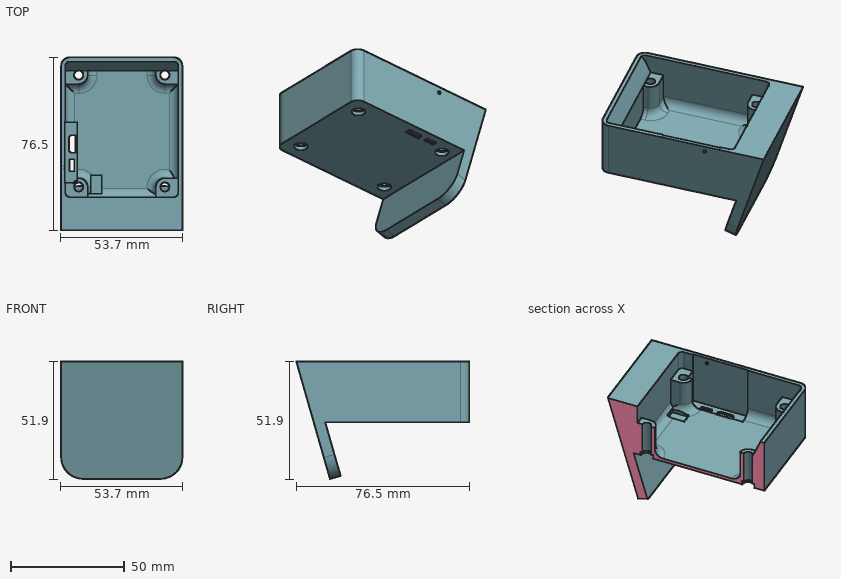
import cadquery as cq
import math

width = 53.7
length = 76.5
total_height = 51.9
box_height = 26.9

lean_angle = math.radians(16)
plate_thickness = 5.0
plate_corner_radius = 10.0
rear_corner_radius = 4.0

wall = 1.9
cavity_depth = 25.0
cavity_front = 14.7
cavity_corner_radius = 2.0
floor_fillet_radius = 4.0
slope_foot_y = 70.6

post_top_depth = 9.2
post_radius = 4.0
hole_inset = 7.8
front_row = 19.1
rear_row = 68.6
hole_diameter = 4.0
counterbore_diameter = 6.0
counterbore_depth = 2.0

connector_recess = (1.6, 7.1, 20.95, 47.7)
wide_opening = (3.6, 6.35, 34.35, 42.0)
wide_opening_chamfer = 0.8
narrow_opening = (3.8, 5.8, 26.15, 31.35)
front_recess = (13.1, 18.0, 16.05, 24.25)
recess_floor_thickness = 1.0

wall_hole_diameter = 1.4
wall_hole_y = 27.6
wall_hole_depth = 2.9

tolerance = 0.01

cavity_back = length - wall
floor_z = -cavity_depth
recess_bottom = -box_height + recess_floor_thickness
hole_columns = (hole_inset, width - hole_inset)
hole_points = [(x, y) for x in hole_columns for y in (front_row, rear_row)]


def block(x0, x1, y0, y1, z0, z1):
    """Box between two opposite corners."""
    return cq.Workplane("XY").box(x1 - x0, y1 - y0, z1 - z0, centered=False).translate((x0, y0, z0))


def side_prism(points, x0, x1):
    """Prism along X with its outline given in Y and Z."""
    return cq.Workplane("YZ").polyline(points).close().extrude(x1 - x0).translate((x0, 0, 0))


def make_shell():
    """Box with the leaning plate running down from its front."""
    outer_bottom = (total_height * math.tan(lean_angle), -total_height)
    inner_bottom = (
        outer_bottom[0] + plate_thickness * math.cos(lean_angle),
        outer_bottom[1] + plate_thickness * math.sin(lean_angle),
    )
    underside_y = box_height * math.tan(lean_angle) + plate_thickness / math.cos(lean_angle)
    outline = [
        (0, 0),
        outer_bottom,
        inner_bottom,
        (underside_y, -box_height),
        (length, -box_height),
        (length, 0),
    ]
    shell = side_prism(outline, 0, width)
    shell = shell.edges("|Z").edges(">Y").fillet(rear_corner_radius)

    middle_y = (outer_bottom[0] + inner_bottom[0]) / 2
    middle_z = (outer_bottom[1] + inner_bottom[1]) / 2
    for x in (0, width):
        corner = cq.selectors.NearestToPointSelector((x, middle_y, middle_z))
        shell = shell.edges(corner).fillet(plate_corner_radius)
    return shell


def make_post(x, y):
    """Corner post reaching from its rounded inner corner to the nearest walls."""
    wall_x = wall if x < width / 2 else width - wall
    inner_x = x + math.copysign(post_radius, width / 2 - x)
    at_front = y < length / 2
    wall_y = cavity_front if at_front else slope_foot_y
    inner_y = y + post_radius if at_front else y - post_radius
    x0, x1 = sorted((wall_x, inner_x))
    y0, y1 = sorted((wall_y, inner_y))
    post = block(x0, x1, y0, y1, floor_z, -post_top_depth)
    corner = cq.selectors.NearestToPointSelector((inner_x, inner_y, (floor_z - post_top_depth) / 2))
    return post.edges(corner).fillet(post_radius)


def make_flare(x, y):
    """Round concave foot centred on a front post's hole."""
    outer_radius = post_radius + floor_fillet_radius
    arc_offset = floor_fillet_radius * (1 - math.sqrt(0.5))
    profile = (
        cq.Workplane("XZ")
        .moveTo(0, 0)
        .lineTo(outer_radius, 0)
        .threePointArc((post_radius + arc_offset, arc_offset), (post_radius, floor_fillet_radius))
        .lineTo(0, floor_fillet_radius)
        .close()
    )
    return profile.revolve(360, (0, 0, 0), (0, 1, 0)).translate((x, y, floor_z))


def make_cavity():
    """Empty space inside the box, rounded along the floor except at the rear."""
    cavity = block(wall, width - wall, cavity_front, cavity_back, floor_z, 0)
    cavity = cavity.edges("|Z").fillet(cavity_corner_radius)
    rear_slope = side_prism(
        [
            (cavity_back, 0),
            (slope_foot_y, -post_top_depth),
            (slope_foot_y, floor_z),
            (length, floor_z),
            (length, 0),
        ],
        0,
        width,
    )
    cavity = cavity.cut(rear_slope)
    for x in hole_columns:
        cavity = cavity.cut(make_post(x, rear_row))
    floor_edges = cavity.faces("<Z").edges().filter(lambda edge: edge.Center().y < slope_foot_y - tolerance)
    cavity = floor_edges.fillet(floor_fillet_radius)
    for x in hole_columns:
        cavity = cavity.cut(make_post(x, front_row))
        cavity = cavity.cut(make_flare(x, front_row))
    return cavity


def cut_screw_holes(body):
    """Through holes in the posts, counterbored from below."""
    drill = cq.Workplane("XY", origin=(0, 0, -box_height)).pushPoints(hole_points)
    holes = drill.circle(hole_diameter / 2).extrude(box_height)
    heads = drill.circle(counterbore_diameter / 2).extrude(counterbore_depth)
    return body.cut(holes).cut(heads)


def cut_connector_recess(body):
    """Tall recess along the left wall with two connector openings in its floor."""
    body = body.cut(block(*connector_recess, recess_bottom, 0))
    wide_cut = block(*wide_opening, -box_height, recess_bottom)
    wide_cut = wide_cut.edges("|Z and <X").chamfer(wide_opening_chamfer)
    narrow_cut = block(*narrow_opening, -box_height, recess_bottom)
    return body.cut(wide_cut).cut(narrow_cut)


def cut_front_recess(body):
    """Rectangular recess in the floor beside the front left post."""
    return body.cut(block(*front_recess, recess_bottom, -post_top_depth))


def cut_wall_hole(body):
    """Small hole through the left wall."""
    hole = cq.Workplane("YZ").center(wall_hole_y, -wall_hole_depth).circle(wall_hole_diameter / 2)
    return body.cut(hole.extrude(wall))


result = make_shell().cut(make_cavity())
result = cut_connector_recess(result)
result = cut_front_recess(result)
result = cut_screw_holes(result)
result = cut_wall_hole(result)